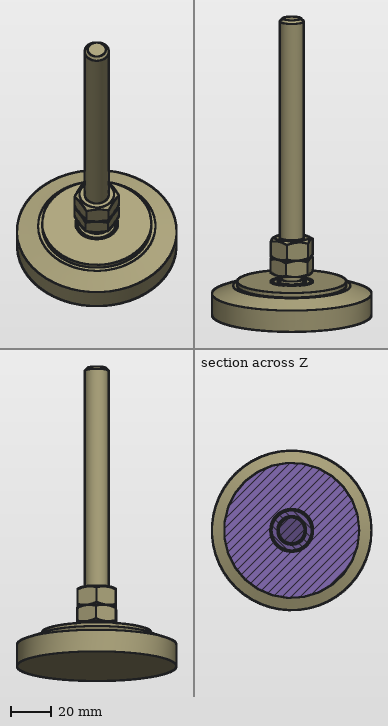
import cadquery as cq
import math

base_diameter = 79.0
shoulder_diameter = 58.0
disc_diameter = 54.0
recess_diameter = 21.0
base_edge_height = 10.85
shoulder_height = 14.75
base_height = 17.0
recess_depth = 6.0
recess_floor = base_height - recess_depth

insert_diameter = 20.0
insert_chamfer = 0.5
socket_diameter = 14.0
insert_floor_thickness = 2.0
socket_floor = recess_floor + insert_floor_thickness

foot_diameter = 12.95
neck_diameter = 9.9
flare_top = 17.9
flare_height = (foot_diameter - neck_diameter) / 2
collar_bottom = 21.1
collar_height = 8.25
collar_top = collar_bottom + collar_height
collar_turn = 0.5
rod_diameter = 12.0
rod_chamfer = 1.5
overall_height = 150.03

nut_height = 9.75
nut_top_face_diameter = 17.1
nut_turn = 3.0

across_flats = 19.0
across_corners = across_flats / math.cos(math.pi / 6)
hex_face_diameter = 18.7
hex_chamfer_angle = 30.0


def revolve_profile(points):
    """Revolve (radius, height) points about the Z axis."""
    return cq.Workplane("XZ").polyline(points).close().revolve(360, (0, 0), (0, 1))


def chamfered_hexagon(bottom, height, lower_face_diameter, upper_face_diameter, turn):
    """Hexagonal prism with corners on +/-Y before the turn, its ends cut back by cones."""
    slope = math.tan(math.radians(hex_chamfer_angle))
    corner_radius = across_corners / 2
    lower_radius = lower_face_diameter / 2
    upper_radius = upper_face_diameter / 2
    top = bottom + height
    prism = (
        cq.Workplane("XY", origin=(0, 0, bottom))
        .polygon(6, across_corners)
        .extrude(height)
        .rotate((0, 0, 0), (0, 0, 1), 90 + turn)
    )
    envelope = revolve_profile([
        (0, bottom),
        (lower_radius, bottom),
        (corner_radius, bottom + (corner_radius - lower_radius) * slope),
        (corner_radius, top - (corner_radius - upper_radius) * slope),
        (upper_radius, top),
        (0, top),
    ])
    return prism.intersect(envelope)


def make_base():
    return revolve_profile([
        (0, 0),
        (base_diameter / 2, 0),
        (base_diameter / 2, base_edge_height),
        (shoulder_diameter / 2, shoulder_height),
        (disc_diameter / 2, shoulder_height),
        (disc_diameter / 2, base_height),
        (recess_diameter / 2, base_height),
        (recess_diameter / 2, recess_floor),
        (0, recess_floor),
    ])


def make_insert():
    """Cup with a chamfered rim and a round socket for the stud foot."""
    insert_radius = insert_diameter / 2
    return revolve_profile([
        (0, recess_floor),
        (insert_radius, recess_floor),
        (insert_radius, base_height - insert_chamfer),
        (insert_radius - insert_chamfer, base_height),
        (socket_diameter / 2, base_height),
        (socket_diameter / 2, socket_floor),
        (0, socket_floor),
    ])


def make_stud():
    """Foot, 45 degree flare, neck, hexagonal collar and rod in one piece."""
    foot_and_neck = revolve_profile([
        (0, socket_floor),
        (foot_diameter / 2, socket_floor),
        (foot_diameter / 2, flare_top - flare_height),
        (neck_diameter / 2, flare_top),
        (neck_diameter / 2, collar_bottom),
        (0, collar_bottom),
    ])
    collar = chamfered_hexagon(
        collar_bottom, collar_height, hex_face_diameter, hex_face_diameter, collar_turn
    )
    rod = (
        cq.Workplane("XY", origin=(0, 0, collar_top))
        .circle(rod_diameter / 2)
        .extrude(overall_height - collar_top)
        .faces(">Z")
        .chamfer(rod_chamfer)
    )
    return foot_and_neck.union(collar).union(rod)


def make_nut():
    """Lock nut on the rod, resting on the collar."""
    blank = chamfered_hexagon(
        collar_top, nut_height, hex_face_diameter, nut_top_face_diameter, nut_turn
    )
    bore = (
        cq.Workplane("XY", origin=(0, 0, collar_top))
        .circle(rod_diameter / 2)
        .extrude(nut_height)
    )
    return blank.cut(bore)


base = make_base()
insert = make_insert()
stud = make_stud()
nut = make_nut()

result = cq.Compound.makeCompound([base.val(), insert.val(), stud.val(), nut.val()])